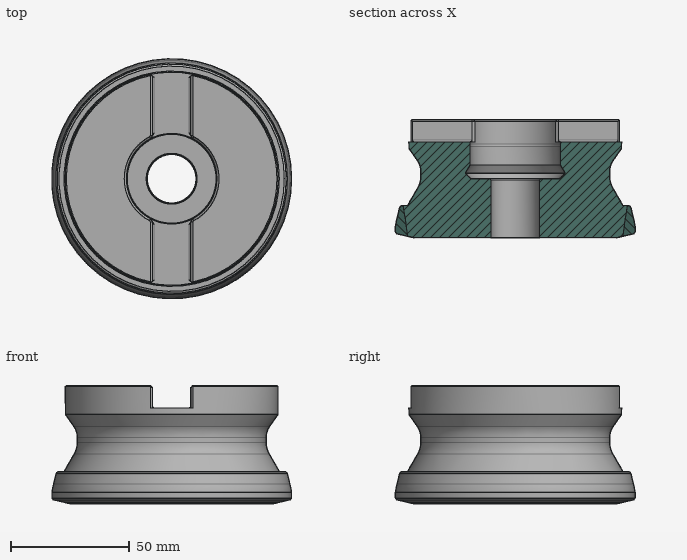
import cadquery as cq
import math

outer_radius = 50.7
total_height = 50.0

flange_radius = 90.0 / 2
flange_bottom_z = 38.3
flange_top_chamfer = 0.5
flange_bottom_chamfer = 0.4
neck_radius = 80.0 / 2
neck_bottom_z = 26.0
neck_top_z = 28.1
upper_cone_angle = math.radians(35)
upper_neck_round = 8.1
lower_cone_angle = math.radians(30)
lower_neck_round = 9.7

bore_entry_radius = 38.3 / 2
bore_radius = 38.1 / 2
bore_entry_depth = 10.4
bore_taper_depth = 11.4
groove_top_depth = 19.2
groove_upper_depth = 22.5
groove_lower_depth = 22.8
groove_radius = 21.0
floor_radius = 18.8
floor_depth = 25.0
hole_radius = 20.5 / 2
hole_chamfer = 0.5

inner_edge_chamfer = 0.9

slot_width = 16.1
slot_depth = 9.4
slot_floor_fillet = 0.7

ring_top_z = 13.8
ring_top_radius = 47.6
ring_edge_radius = 48.4
ring_edge_z = 13.5
ring_bevel_radius = 48.9
ring_bevel_z = 12.9
ring_cone_top_radius = 49.0
ring_cone_top_z = 12.6
ring_cone_bottom_radius = 50.0
ring_cone_bottom_z = 8.3
ring_bulge_radius = 50.4
ring_bulge_z = 6.6
ring_bulge_bottom_radius = 50.6
ring_bulge_bottom_z = 5.2
ring_band_top_z = 4.9
ring_band_bottom_z = 2.7
ring_corner_radius = 50.6
ring_corner_z = 2.3
bottom_cone_radius = 50.1
bottom_cone_z = 1.7

foot_rim_radius = 45.7
foot_radius = 42.8
foot_rim_z = bottom_cone_z * (foot_rim_radius - foot_radius) / (bottom_cone_radius - foot_radius)


def depth(distance):
    """Height of a point lying the given distance below the hub's top face."""
    return total_height - distance


def neck_round_point(round_radius, start_z, direction, angle):
    """(radius, z) after turning by an angle along a round that starts tangent to the neck."""
    radius = neck_radius + round_radius * (1 - math.cos(angle))
    return radius, start_z + direction * round_radius * math.sin(angle)


def hub_blank():
    """The hub as one turned profile, without the driving slot and its top chamfers."""
    upper_mid = neck_round_point(upper_neck_round, neck_top_z, 1, upper_cone_angle / 2)
    upper_end = neck_round_point(upper_neck_round, neck_top_z, 1, upper_cone_angle)
    lower_mid = neck_round_point(lower_neck_round, neck_bottom_z, -1, lower_cone_angle / 2)
    lower_end = neck_round_point(lower_neck_round, neck_bottom_z, -1, lower_cone_angle)
    upper_cone_top_z = flange_bottom_z - flange_bottom_chamfer
    upper_cone_top_radius = upper_end[0] + (upper_cone_top_z - upper_end[1]) * math.tan(upper_cone_angle)
    lower_cone_foot_radius = lower_end[0] + (lower_end[1] - ring_top_z) * math.tan(lower_cone_angle)
    return (
        cq.Workplane("XZ")
        .moveTo(hole_radius, 0)
        .lineTo(foot_radius, 0)
        .lineTo(foot_rim_radius, foot_rim_z)
        .lineTo(ring_top_radius, ring_top_z)
        .lineTo(lower_cone_foot_radius, ring_top_z)
        .lineTo(*lower_end)
        .threePointArc(lower_mid, (neck_radius, neck_bottom_z))
        .lineTo(neck_radius, neck_top_z)
        .threePointArc(upper_mid, upper_end)
        .lineTo(upper_cone_top_radius, upper_cone_top_z)
        .lineTo(flange_radius, flange_bottom_z)
        .lineTo(flange_radius, total_height)
        .lineTo(bore_entry_radius, total_height)
        .lineTo(bore_entry_radius, depth(bore_entry_depth))
        .lineTo(bore_radius, depth(bore_taper_depth))
        .lineTo(bore_radius, depth(groove_top_depth))
        .lineTo(groove_radius, depth(groove_upper_depth))
        .lineTo(groove_radius, depth(groove_lower_depth))
        .lineTo(floor_radius, depth(floor_depth))
        .lineTo(hole_radius + hole_chamfer, depth(floor_depth))
        .lineTo(hole_radius, depth(floor_depth + hole_chamfer))
        .close()
        .revolve(360, (0, 0, 0), (0, 1, 0))
    )


def slot_cutter():
    """Sharp-edged bar along Y."""
    return (
        cq.Workplane("XY", origin=(0, 0, depth(slot_depth)))
        .rect(slot_width, 2 * outer_radius)
        .extrude(slot_depth)
    )


def slot_wall_edges(hub):
    """Top and upright edges of the four slot walls."""
    edges = []
    for edge in hub.edges("|Y or |Z").vals():
        center = edge.Center()
        on_wall = math.isclose(abs(center.x), slot_width / 2, abs_tol=0.0001)
        above_floor = center.z > depth(slot_depth) + 0.0001
        if on_wall and above_floor:
            edges.append(edge)
    return edges


def slot_floor_edges(hub):
    """Edges where the slot walls stand on the slot floor."""
    edges = hub.edges("|Y").vals()
    return [edge for edge in edges if math.isclose(edge.Center().z, depth(slot_depth), abs_tol=0.0001)]


def top_arcs(hub, radius):
    """Arcs of the given radius around the hub's top face."""
    arcs = hub.faces(">Z").edges("%CIRCLE").vals()
    return [arc for arc in arcs if math.isclose(arc.radius(), radius, abs_tol=0.0001)]


def make_hub():
    """Turned hub with the driving slot and its broken edges."""
    hub = hub_blank().cut(slot_cutter())
    inner_edges = slot_wall_edges(hub) + top_arcs(hub, bore_entry_radius)
    hub = hub.newObject(inner_edges).chamfer(inner_edge_chamfer)
    hub = hub.newObject(slot_floor_edges(hub)).fillet(slot_floor_fillet)
    return hub.newObject(top_arcs(hub, flange_radius)).chamfer(flange_top_chamfer)


def make_ring():
    """Ring on the tapered foot of the hub."""
    return (
        cq.Workplane("XZ")
        .moveTo(foot_rim_radius, foot_rim_z)
        .lineTo(bottom_cone_radius, bottom_cone_z)
        .lineTo(ring_corner_radius, ring_corner_z)
        .lineTo(outer_radius, ring_band_bottom_z)
        .lineTo(outer_radius, ring_band_top_z)
        .lineTo(ring_bulge_bottom_radius, ring_bulge_bottom_z)
        .threePointArc((ring_bulge_radius, ring_bulge_z), (ring_cone_bottom_radius, ring_cone_bottom_z))
        .lineTo(ring_cone_top_radius, ring_cone_top_z)
        .lineTo(ring_bevel_radius, ring_bevel_z)
        .lineTo(ring_edge_radius, ring_edge_z)
        .lineTo(ring_top_radius, ring_top_z)
        .close()
        .revolve(360, (0, 0, 0), (0, 1, 0))
    )


hub = make_hub()
ring = make_ring()

result = cq.Compound.makeCompound([hub.solids().val(), ring.val()])